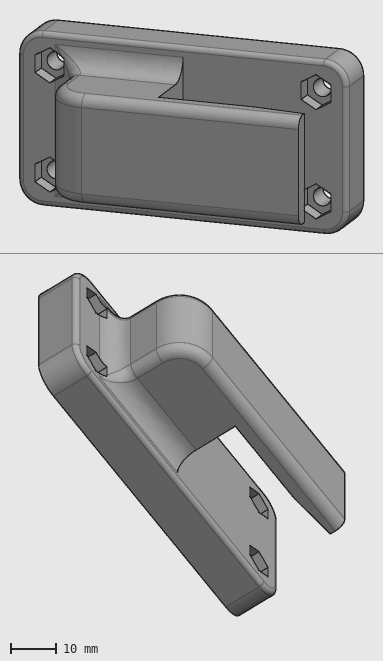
import cadquery as cq
import math

plate_length = 77.89
plate_height = 40.2
plate_thickness = 10.3
plate_corner_radius = 5.7
plate_edge_fillet = 1.25

hole_diameter = 4.2
hole_inset = 7.5
nut_across_flats = 7.0
nut_pocket_depth = 4.0

total_depth = 31.16
hook_height = 25.1
hook_left_inset = 13.75
hook_right_inset = 4.05
hook_left = -plate_length / 2 + hook_left_inset
hook_right = plate_length / 2 - hook_right_inset
block_right = 0.0
bend_radius = 8.9
hook_edge_fillet = 2.6
arm_thickness = 5.2
arm_tip_thickness = 3.95
taper_length = 12.4

flare_radius = 5.0
flare_sections = 8
flare_base_corner_radius = 0.02

plate_front = -plate_thickness
hook_front = -total_depth
arm_back = hook_front + arm_thickness


def make_plate():
    plate = cq.Workplane("XZ").rect(plate_length, plate_height).extrude(plate_thickness)
    plate = plate.edges("|Y").fillet(plate_corner_radius)
    return plate.faces("<Y").edges().fillet(plate_edge_fillet)


def make_hook():
    hook = (
        cq.Workplane("XY")
        .moveTo(hook_left, plate_front)
        .lineTo(hook_left, hook_front + bend_radius)
        .radiusArc((hook_left + bend_radius, hook_front), -bend_radius)
        .lineTo(hook_right, hook_front)
        .lineTo(hook_right, hook_front + arm_tip_thickness)
        .lineTo(hook_right - taper_length, arm_back)
        .lineTo(block_right, arm_back)
        .lineTo(block_right, plate_front)
        .close()
        .extrude(hook_height / 2, both=True)
    )
    bend_zone = cq.selectors.BoxSelector(
        (hook_left, hook_front, -hook_height),
        (hook_left + bend_radius, hook_front + bend_radius, hook_height),
    )
    return hook.edges(bend_zone).edges("%CIRCLE").fillet(hook_edge_fillet)


def flare_outline(angle):
    """Section of the flare: angle 0 lies on the plate, pi / 2 runs into the block."""
    spread = flare_radius * (1 - math.sin(angle))
    y = plate_front - flare_radius * (1 - math.cos(angle))
    corner = max(hook_edge_fillet * math.sin(angle), flare_base_corner_radius)
    left = hook_left - spread
    top = hook_height / 2 + spread
    return (
        cq.Workplane("XZ", origin=(0, y, 0))
        .moveTo(block_right, -top)
        .lineTo(left + corner, -top)
        .radiusArc((left, -top + corner), corner)
        .lineTo(left, top - corner)
        .radiusArc((left + corner, top), corner)
        .lineTo(block_right, top)
        .close()
        .val()
    )


def make_flare():
    last = flare_sections - 1
    outlines = [flare_outline(math.pi / 2 * i / last) for i in range(flare_sections)]
    return cq.Workplane(cq.Solid.makeLoft(outlines))


def cut_screw_holes(body):
    x = plate_length / 2 - hole_inset
    z = plate_height / 2 - hole_inset
    centers = [(sx * x, sz * z) for sx in (-1, 1) for sz in (-1, 1)]
    holes = cq.Workplane("XZ").pushPoints(centers).circle(hole_diameter / 2).extrude(plate_thickness)
    pocket_floor = plate_front + nut_pocket_depth
    pockets = (
        cq.Workplane("XZ", origin=(0, pocket_floor, 0))
        .pushPoints(centers)
        .polygon(6, nut_across_flats, circumscribed=True)
        .extrude(nut_pocket_depth + flare_radius)
    )
    return body.cut(holes).cut(pockets)


result = cut_screw_holes(make_plate().union(make_hook()).union(make_flare()))